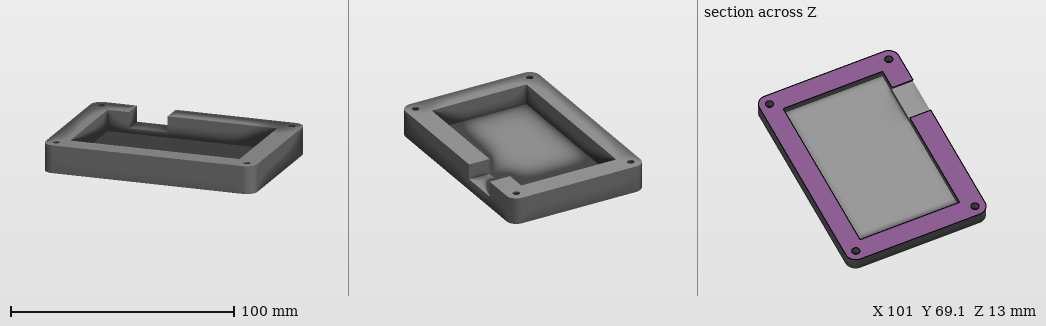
import cadquery as cq

length = 101.0
width = 69.1
height = 13.0
corner_radius = 5.0

pocket_length = 80.8
pocket_width = 49.0
back_wall = 10.5
pocket_depth = 10.0

notch_start = 20.2
notch_length = 18.5
notch_depth = 7.6

hole_diameter = 3.4


def make_block():
    block = cq.Workplane("XY").box(length, width, height, centered=(True, True, False))
    return block.edges("|Z").fillet(corner_radius)


def make_pocket():
    center_y = width / 2 - back_wall - pocket_width / 2
    return (
        cq.Workplane("XY", origin=(0, center_y, height - pocket_depth))
        .box(pocket_length, pocket_width, pocket_depth, centered=(True, True, False))
    )


def make_notch():
    notch_corner = (notch_start - length / 2, width / 2 - back_wall, height - notch_depth)
    return cq.Workplane("XY", origin=notch_corner).box(notch_length, back_wall, notch_depth, centered=False)


def make_screw_holes():
    return (
        cq.Workplane("XY")
        .rect(length - 2 * corner_radius, width - 2 * corner_radius, forConstruction=True)
        .vertices()
        .circle(hole_diameter / 2)
        .extrude(height)
    )


result = make_block().cut(make_pocket()).cut(make_notch()).cut(make_screw_holes())